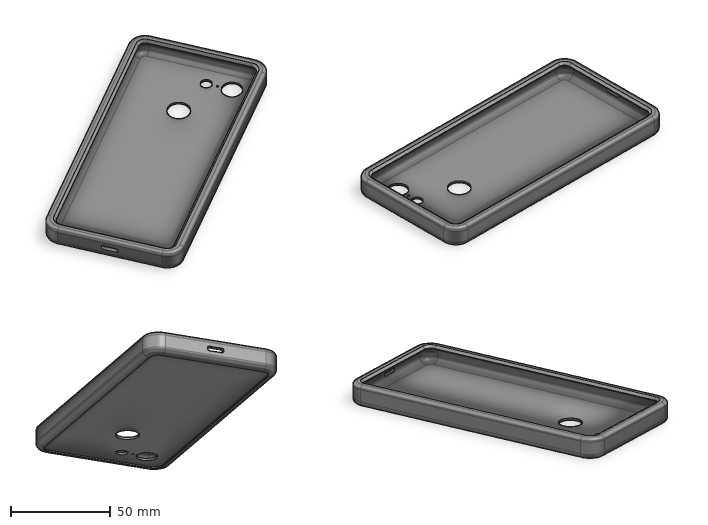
import cadquery as cq

width = 72.8
length = 150
height = 11.7
corner_radius = 8.7
bottom_edge_fillet = 3
rim_edge_fillet = 2.1

wall = 2.1
floor = 2.0
cavity_side_radius = 4.0
cavity_middle = floor + cavity_side_radius
cavity_top = cavity_middle + cavity_side_radius

rim_inset = 3.9
taper = 1.4
lip_inset = rim_inset + taper

recess_inset = rim_inset
recess_depth = 0.8

camera_row_y = 59.2
back_holes = [
    (10.8, 20.7, camera_row_y),
    (1.0, 13.0, camera_row_y),
    (6, 7.0, camera_row_y),
    (12, 0, 36.3),
]

slot_width = 9
slot_height = 2.4
slot_z = 6.3


def rounded_block(inset, bottom, top):
    """Block whose outline is the case outline moved inwards by inset."""
    return (
        cq.Workplane("XY")
        .workplane(offset=bottom)
        .rect(width - 2 * inset, length - 2 * inset)
        .extrude(top - bottom)
        .edges("|Z")
        .fillet(corner_radius - inset)
    )


def case_body():
    body = rounded_block(0, 0, height)
    body = body.faces("<Z").edges().fillet(bottom_edge_fillet)
    return body.faces(">Z").edges().fillet(rim_edge_fillet)


def phone_cavity():
    lower = rounded_block(wall, floor, height).faces("<Z").edges().fillet(cavity_side_radius)
    upper = rounded_block(wall, 0, cavity_top).faces(">Z").edges().fillet(cavity_side_radius)
    return lower.intersect(upper)


def rim_opening():
    straight = rounded_block(lip_inset, cavity_middle, height)
    tapered = rounded_block(rim_inset, height - taper, height + taper)
    tapered = tapered.faces("<Z").edges().chamfer(taper)
    return straight.union(tapered)


def back_recess():
    return rounded_block(recess_inset, 0, recess_depth)


def back_hole(diameter, x, y):
    return cq.Workplane("XY").center(x, y).circle(diameter / 2).extrude(height)


def charging_slot():
    slot = cq.Workplane("XZ").center(0, slot_z).slot2D(slot_width, slot_height)
    return slot.extrude(length / 2)


result = (
    case_body()
    .cut(phone_cavity())
    .cut(rim_opening())
    .cut(back_recess())
    .cut(charging_slot())
)
for diameter, x, y in back_holes:
    result = result.cut(back_hole(diameter, x, y))